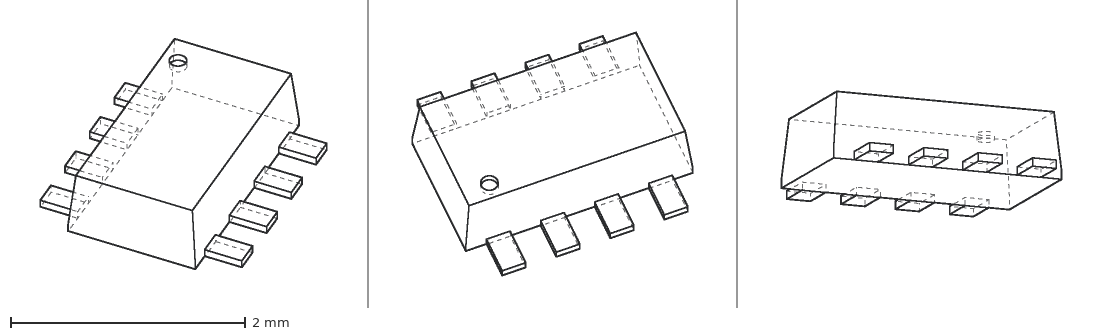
import cadquery as cq

body_width = 1.2
body_length = 2.1
total_height = 0.6
band_height = 0.074
top_inset = 0.05

lead_span = 1.9
lead_width = 0.218
lead_pitch = 0.5
leads_per_side = 4
lead_length = (lead_span - body_width) / 2
first_lead_y = lead_pitch * (leads_per_side - 1) / 2

mark_diameter = 0.15
mark_depth = 0.06
mark_x = -0.401
mark_y = first_lead_y


def make_package():
    """Base band and tapered block as one solid, with the dimple cut in the top."""
    band = cq.Workplane("XY").box(
        body_width, body_length, band_height, centered=(True, True, False)
    )
    block = (
        cq.Workplane("XY", origin=(0, 0, band_height))
        .rect(body_width, body_length)
        .workplane(offset=total_height - band_height)
        .rect(body_width - 2 * top_inset, body_length - 2 * top_inset)
        .loft(ruled=True)
    )
    mark = (
        cq.Workplane("XY", origin=(mark_x, mark_y, total_height - mark_depth))
        .circle(mark_diameter / 2)
        .extrude(mark_depth)
    )
    return band.union(block, clean=False).cut(mark, clean=False)


def make_lead(side, y):
    """One flat lead butting against the band; side is -1 for left, +1 for right."""
    center_x = side * (body_width + lead_length) / 2
    return (
        cq.Workplane("XY", origin=(center_x, y, 0))
        .box(lead_length, lead_width, band_height, centered=(True, True, False))
    )


package = make_package()

leads = []
for side in (-1, 1):
    for index in range(leads_per_side):
        leads.append(make_lead(side, first_lead_y - index * lead_pitch))

result = cq.Compound.makeCompound([package.val(), *[lead.val() for lead in leads]])